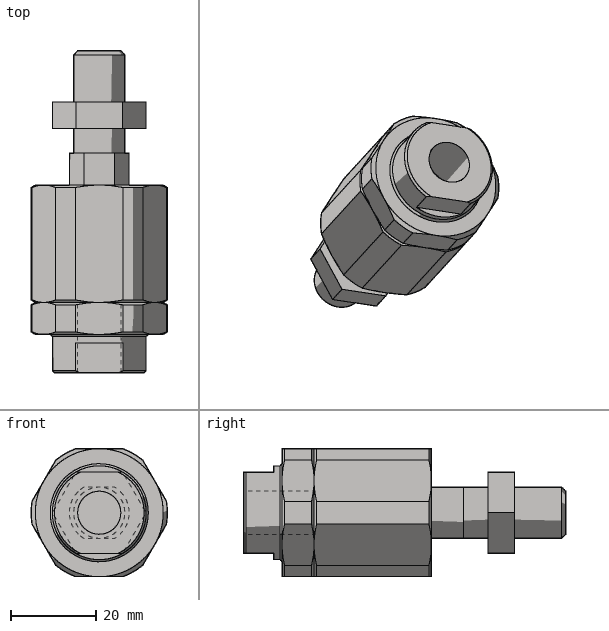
import cadquery as cq
import math


socket_flat_end = 7.0
cap_start = 9.0
body_start = 16.5
body_end = 44.0
neck_end = 51.5
lock_nut_start = 57.2
lock_nut_end = 63.5
stud_end = 75.5

thread_major_diameter = 12.0
thread_minor_diameter = 10.1

body_across_flats = 30.0
body_corner_diameter = 32.0
corner_chamfer_angle = 30.0

socket_diameter = 22.0
socket_across_flats = 19.0
socket_chamfer = 0.5
collar_diameter = 23.0
collar_height = 0.5
hole_depth = body_start

neck_diameter = 14.0
neck_across_flats = 12.0
stud_diameter = thread_major_diameter
stud_tip_diameter = thread_minor_diameter
stud_tip_length = 1.0
lock_nut_across_flats = 19.0


def plane_at(y):
    """Plane across the axis at station y, with its normal along +Y."""
    return cq.Workplane(cq.Plane(origin=(0, y, 0), xDir=(1, 0, 0), normal=(0, 1, 0)))


def cylinder(diameter, start, end):
    return plane_at(start).circle(diameter / 2).extrude(end - start)


def hexagon(across_flats, start, end):
    """Hexagonal prism with flats facing +Z and -Z and corners on X."""
    corner_diameter = across_flats / math.cos(math.radians(30))
    return plane_at(start).polygon(6, corner_diameter).extrude(end - start)


def flat_sided(round_part, diameter, across_flats, start, end):
    """Trim two flats facing +Z and -Z on a round part between two stations."""
    flat_depth = (diameter - across_flats) / 2
    for side in (1, -1):
        cutter = (
            plane_at(start)
            .center(0, side * (across_flats + flat_depth) / 2)
            .rect(diameter, flat_depth)
            .extrude(end - start)
        )
        round_part = round_part.cut(cutter)
    return round_part


def turned_hexagon(start, end):
    """Hexagon with corners turned round and chamfered down to the flats at both ends."""
    radial = (body_corner_diameter - body_across_flats) / 2
    axial = radial * math.tan(math.radians(corner_chamfer_angle))
    envelope = (
        cylinder(body_corner_diameter, start, end)
        .faces("<Y or >Y")
        .chamfer(axial, radial)
    )
    return hexagon(body_across_flats, start, end).intersect(envelope)


def make_socket():
    socket = cylinder(socket_diameter, 0, cap_start).faces("<Y").chamfer(socket_chamfer)
    return flat_sided(socket, socket_diameter, socket_across_flats, 0, socket_flat_end)


def make_collar():
    """Cone that widens from the socket to the face of the cap."""
    return (
        plane_at(cap_start - collar_height)
        .circle(socket_diameter / 2)
        .workplane(offset=collar_height)
        .circle(collar_diameter / 2)
        .loft(ruled=True)
    )


def make_neck():
    neck = cylinder(neck_diameter, body_end, neck_end)
    return flat_sided(neck, neck_diameter, neck_across_flats, body_end, neck_end)


def make_stud():
    """Plain stud with a chamfer at its tip down to the thread minor diameter."""
    stud = cylinder(stud_diameter, neck_end, stud_end)
    radial = (stud_diameter - stud_tip_diameter) / 2
    return stud.faces(">Y").chamfer(stud_tip_length, radial)


socket = make_socket()
collar = make_collar()
cap = turned_hexagon(cap_start, body_start)
body = turned_hexagon(body_start, body_end)
neck = make_neck()
stud = make_stud()
lock_nut = hexagon(lock_nut_across_flats, lock_nut_start, lock_nut_end)
hole = cylinder(thread_minor_diameter, 0, hole_depth)

result = socket
for section in (collar, cap, body, neck, stud, lock_nut):
    result = result.union(section)
result = result.cut(hole)